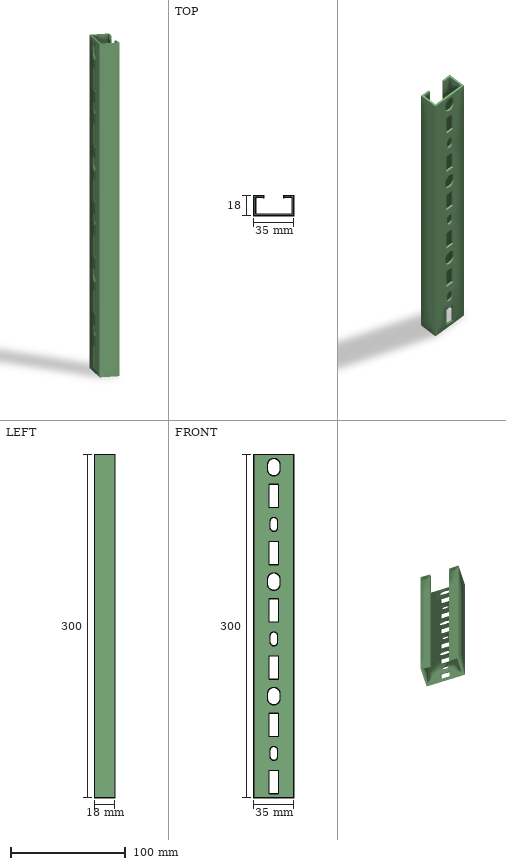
import cadquery as cq

LENGTH = 300.0
WIDTH = 35.0
DEPTH = 18.0

SHEET = 1.8
LIP_REACH = 9.0
LIP_DROP = 0.3

OPENING_COUNT = 12
OPENING_PITCH = LENGTH / OPENING_COUNT
FIRST_OPENING_FROM_TOP = 11.0
BIG_SLOT = (10.8, 15.0)
SMALL_SLOT = (6.3, 12.0)
RECTANGLE = (8.0, 20.0)

HALF_WIDTH = WIDTH / 2
HALF_DEPTH = DEPTH / 2
HALF_LENGTH = LENGTH / 2


def rail_body():
    """C-shaped channel along Z, open towards +Y between two slightly inclined lips."""
    right_half = [
        (HALF_WIDTH, -HALF_DEPTH),
        (HALF_WIDTH, HALF_DEPTH),
        (HALF_WIDTH - LIP_REACH, HALF_DEPTH - LIP_DROP),
        (HALF_WIDTH - LIP_REACH, HALF_DEPTH - LIP_DROP - SHEET),
        (HALF_WIDTH - SHEET, HALF_DEPTH - SHEET),
        (HALF_WIDTH - SHEET, -HALF_DEPTH + SHEET),
    ]
    left_half = [(-x, y) for x, y in reversed(right_half)]
    return (
        cq.Workplane("XY")
        .workplane(offset=-HALF_LENGTH)
        .polyline(right_half + left_half)
        .close()
        .extrude(LENGTH)
    )


def web_sketch(z):
    """Sketch plane on the outer face of the web, centred at height z and facing -Y."""
    return cq.Workplane("XZ", origin=(0, -HALF_DEPTH, z))


def slot_cutter(size, z):
    width, height = size
    return web_sketch(z).slot2D(height, width, 90).extrude(-SHEET)


def rectangle_cutter(size, z):
    return web_sketch(z).rect(*size).extrude(-SHEET)


result = rail_body()

for index in range(OPENING_COUNT):
    z = HALF_LENGTH - FIRST_OPENING_FROM_TOP - index * OPENING_PITCH
    if index % 4 == 0:
        cutter = slot_cutter(BIG_SLOT, z)
    elif index % 4 == 2:
        cutter = slot_cutter(SMALL_SLOT, z)
    else:
        cutter = rectangle_cutter(RECTANGLE, z)
    result = result.cut(cutter)